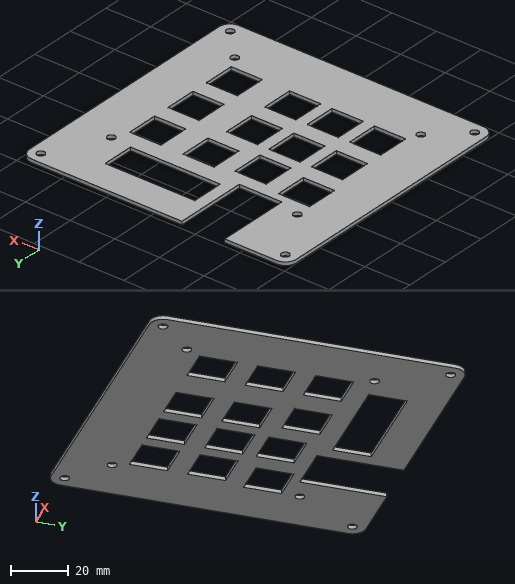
import cadquery as cq

plate_width = 119.6
plate_depth = 116.0
plate_thickness = 1.5
corner_radius = 5.0

hole_diameter = 3.3

standoff_left_x = -41.0
standoff_right_x = 42.3
standoff_front_y = -40.0
standoff_back_y = 29.0

key_size = 13.9
key_pitch_x = 19.0
key_pitch_y = 21.4
middle_column_x = -12.7
right_column_x = 32.5
back_row_y = 15.3
middle_row_y = back_row_y - key_pitch_y
front_row_y = middle_row_y - key_pitch_y
back_row_left_x = -34.1
back_row_third_x = 8.7
lowered_key_y = 12.9

notch_width = 19.0
notch_center_x = -22.0
notch_front_y = 26.0

window_width = 40.0
window_depth = 14.1
window_center = (12.9, 37.1)


def through_box(width, depth, center):
    """Cutting block spanning the plate thickness."""
    block = cq.Workplane("XY").rect(width, depth).extrude(plate_thickness)
    return block.translate((center[0], center[1], 0))


def through_holes(centers):
    """Cutting cylinders spanning the plate thickness."""
    return cq.Workplane("XY").pushPoints(centers).circle(hole_diameter / 2).extrude(plate_thickness)


def key_centers():
    """Two regular rows of four keys, plus the staggered back row."""
    regular_columns = [
        middle_column_x - key_pitch_x,
        middle_column_x,
        middle_column_x + key_pitch_x,
        right_column_x,
    ]
    centers = [(x, y) for y in (front_row_y, middle_row_y) for x in regular_columns]
    centers += [(x, back_row_y) for x in (back_row_left_x, back_row_third_x, right_column_x)]
    centers.append((middle_column_x, lowered_key_y))
    return centers


plate = cq.Workplane("XY").rect(plate_width, plate_depth).extrude(plate_thickness)
plate = plate.edges("|Z").fillet(corner_radius)

corner_hole_x = plate_width / 2 - corner_radius
corner_hole_y = plate_depth / 2 - corner_radius
corner_centers = [(sx * corner_hole_x, sy * corner_hole_y) for sx in (-1, 1) for sy in (-1, 1)]
plate = plate.cut(through_holes(corner_centers))

standoff_centers = [
    (x, y)
    for x in (standoff_left_x, standoff_right_x)
    for y in (standoff_front_y, standoff_back_y)
]
plate = plate.cut(through_holes(standoff_centers))

for center in key_centers():
    plate = plate.cut(through_box(key_size, key_size, center))

plate = plate.cut(through_box(window_width, window_depth, window_center))

notch_depth = plate_depth / 2 - notch_front_y
notch_center = (notch_center_x, notch_front_y + notch_depth / 2)
plate = plate.cut(through_box(notch_width, notch_depth, notch_center))

result = plate